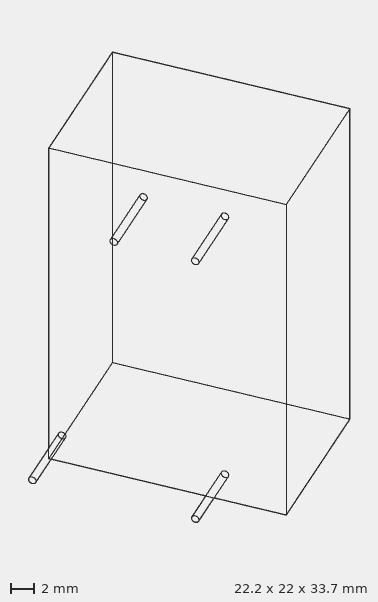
import cadquery as cq

width = 22.2
height = 33.7
overall_depth = 22.0
pin_length = 7.0
housing_depth = overall_depth - pin_length

pin_diameter = 0.7
column_pitch = 7.6
first_column_inset = 1.25
row_spacing = 27.97

left_column = -width / 2 + first_column_inset
middle_column = left_column + column_pitch
right_column = middle_column + column_pitch
top_row = row_spacing / 2
bottom_row = -row_spacing / 2

pin_positions = [
    (left_column, bottom_row),
    (right_column, bottom_row),
    (middle_column, top_row),
    (right_column, top_row),
]

housing = cq.Workplane("XZ").rect(width, height).extrude(-housing_depth)
pins = cq.Workplane("XZ").pushPoints(pin_positions).circle(pin_diameter / 2).extrude(pin_length)

result = housing.union(pins)